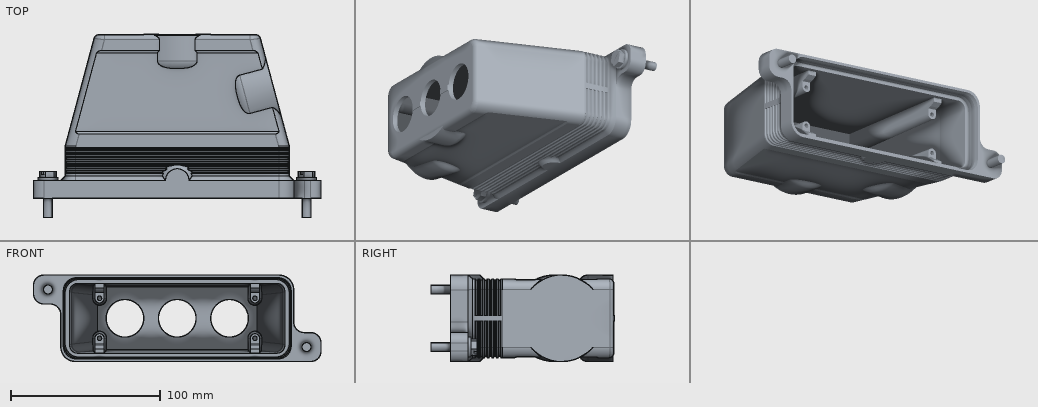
import cadquery as cq
import math


FLANGE_HALF_X = 78.0
FLANGE_HALF_Z = 29.0
FLANGE_THICKNESS = 12.0
FLANGE_CORNER_R = 10.0
EAR_HALF_X = 96.25
EAR_HEIGHT = 19.5
EAR_R = 7.0

SHELL_HALF_X = 75.0
SHELL_HALF_Z = 26.4
SHELL_CORNER_R = 7.0
TAPER_START_Y = 35.0
END_FACE_Y = 109.5
TAPER_ANGLE = 15.0
END_EDGE_R = 3.4
CHAMFER_TOP_Y = FLANGE_THICKNESS + FLANGE_HALF_X - SHELL_HALF_X
END_HALF_X = SHELL_HALF_X - (END_FACE_Y - TAPER_START_Y) * math.tan(math.radians(TAPER_ANGLE))

GROOVE_COUNT = 6
GROOVE_PITCH = 3.06
GROOVE_FIRST_Y = 17.7
GROOVE_DEPTH = 0.9
GROOVE_MOUTH = 2.1
GROOVE_FLOOR = 0.9
BRIDGE_WIDTH = 3.8

PANEL_START_Y = 43.0
PANEL_END_Y = 99.0
PANEL_DEPTH = 0.6
PANEL_RAMP = 1.7

GLAND_R = 29.0
GLAND_EDGE_R = 6.0
END_GLAND_START_Y = 86.0
END_GLAND_STOP_Y = 109.0
SIDE_GLAND_Y = 74.7
SIDE_GLAND_LENGTH = 25.8

STOP_R = 7.8
STOP_DROP = 4.0

MOUTH_STEPS = ((0.0, 27.2), (2.8, 26.6), (6.3, 26.6), (8.5, 25.9))
MOUTH_X_EXCESS = 49.1
MOUTH_CORNER_R = 9.0
LEDGE_Y = MOUTH_STEPS[-1][0]
CAVITY_FLOOR_Y = 106.0
END_WALL = END_FACE_Y - CAVITY_FLOOR_Y
CAVITY_MOUTH_HALF_X = 72.0
CAVITY_BEND_HALF_X = 70.6
CAVITY_FLOOR_HALF_X = 53.5
CAVITY_MOUTH_HALF_Z = 23.4
CAVITY_FLOOR_HALF_Z = 20.9
CAVITY_CORNER_R = 5.5

ENTRY_R = 12.5
ENTRY_SPACING = 35.0
PAD_LENGTH = 9.6
PAD_WIDTH = 3.6
PAD_TOP_Y = 110.0

POST_X = 52.0
POST_Z = 13.4
POST_FACE_Y = 18.5
POST_FRONT_R = 3.1
POST_BACK_R = 4.8
POST_HOLE_R = 1.5
POST_HOLE_DEPTH = 15.0
POST_WALL_Z = FLANGE_HALF_Z
POST_ROOT = 0.8
POST_TOE_PROFILE = ((17.3, POST_FACE_Y), (18.2, 16.0), (20.4, 12.1))

SCREW_X = EAR_HALF_X - EAR_HEIGHT / 2
SCREW_Z = FLANGE_HALF_Z - EAR_HEIGHT / 2
SCREW_R = 3.0
SCREW_PROJECTION = 13.0
COLLAR_R = 6.75
COLLAR_HEIGHT = 2.0
HEAD_HEIGHT = 4.0
HEAD_ACROSS_CORNERS = 11.55
HEAD_TURN = 13.0
SLOT_TURN = HEAD_TURN + 30.0
SLOT_WIDTH = 1.6
SLOT_DEPTH = 2.0


LENGTHWISE_EDGES = "not(|X or |Z)"


def plane_at(y, x=0.0, z=0.0):
    """Workplane whose normal is +Y; local X is X and local Y is -Z."""
    return cq.Workplane(cq.Plane(origin=(x, y, z), xDir=(1, 0, 0), normal=(0, 1, 0)))


def rounded_rect_wire(y, half_x, half_z, radius):
    outline = plane_at(y).rect(2 * half_x, 2 * half_z).extrude(1.0).edges("|Y").fillet(radius)
    return outline.faces("<Y").wires().val()


def ruled_loft(sections):
    """Ruled solid through rounded rectangles given as (y, half_x, half_z, corner_radius)."""
    wires = [rounded_rect_wire(*section) for section in sections]
    return cq.Workplane(cq.Solid.makeLoft(wires, True))


def make_shell():
    sections = [
        (FLANGE_THICKNESS, FLANGE_HALF_X, FLANGE_HALF_Z, FLANGE_CORNER_R),
        (CHAMFER_TOP_Y, SHELL_HALF_X, SHELL_HALF_Z, SHELL_CORNER_R),
    ]
    groove_steps = (
        (-GROOVE_MOUTH / 2, 0.0),
        (-GROOVE_FLOOR / 2, GROOVE_DEPTH),
        (GROOVE_FLOOR / 2, GROOVE_DEPTH),
        (GROOVE_MOUTH / 2, 0.0),
    )
    for i in range(GROOVE_COUNT):
        centre = GROOVE_FIRST_Y + i * GROOVE_PITCH
        for offset, depth in groove_steps:
            sections.append((
                centre + offset,
                SHELL_HALF_X - depth,
                SHELL_HALF_Z - depth,
                SHELL_CORNER_R - depth,
            ))
    sections.append((TAPER_START_Y, SHELL_HALF_X, SHELL_HALF_Z, SHELL_CORNER_R))
    grip = ruled_loft(sections)

    tapered = (
        cq.Workplane("XY")
        .polyline([
            (-SHELL_HALF_X, TAPER_START_Y),
            (SHELL_HALF_X, TAPER_START_Y),
            (END_HALF_X, END_FACE_Y),
            (-END_HALF_X, END_FACE_Y),
        ])
        .close()
        .extrude(SHELL_HALF_Z, both=True)
    )
    tapered = tapered.edges(LENGTHWISE_EDGES).fillet(SHELL_CORNER_R)
    shell = grip.union(tapered.faces(">Y").edges().fillet(END_EDGE_R))

    bridge_length = TAPER_START_Y - CHAMFER_TOP_Y
    bridges = plane_at(CHAMFER_TOP_Y).rect(2 * SHELL_HALF_X, BRIDGE_WIDTH).extrude(bridge_length)
    return shell.union(bridges)


def make_panel_recess(side):
    """Trapezoidal slab that lowers one Z face of the shell."""
    face = side * SHELL_HALF_Z
    floor = side * (SHELL_HALF_Z - PANEL_DEPTH)
    return (
        cq.Workplane("YZ", origin=(-SHELL_HALF_X, 0, 0))
        .moveTo(PANEL_START_Y, face)
        .lineTo(PANEL_START_Y + PANEL_RAMP, floor)
        .lineTo(PANEL_END_Y - PANEL_RAMP, floor)
        .lineTo(PANEL_END_Y, face)
        .close()
        .extrude(2 * SHELL_HALF_X)
    )


def round_corners(body, radius, x, z_values):
    """Round the flange corners at (x, -z) and at their half-turn images (-x, z)."""
    for side in (-1, 1):
        for z in z_values:
            corner = (side * x, FLANGE_THICKNESS / 2, -side * z)
            picker = cq.selectors.NearestToPointSelector(corner)
            body = body.edges("|Y").edges(picker).fillet(radius)
    return body


def make_flange():
    flange = (
        plane_at(0).rect(2 * FLANGE_HALF_X, 2 * FLANGE_HALF_Z).extrude(FLANGE_THICKNESS)
    )
    for side in (-1, 1):
        ear = (
            plane_at(0, side * EAR_HALF_X / 2, -side * SCREW_Z)
            .rect(EAR_HALF_X, EAR_HEIGHT)
            .extrude(FLANGE_THICKNESS)
        )
        flange = flange.union(ear)
    flange = flange.clean()

    ear_inner_z = FLANGE_HALF_Z - EAR_HEIGHT
    flange = round_corners(flange, FLANGE_CORNER_R, FLANGE_HALF_X, (-FLANGE_HALF_Z,))
    flange = round_corners(flange, EAR_R, FLANGE_HALF_X, (ear_inner_z,))
    return round_corners(flange, EAR_R, EAR_HALF_X, (ear_inner_z, FLANGE_HALF_Z))


def make_end_gland():
    length = END_GLAND_STOP_Y - END_GLAND_START_Y
    gland = plane_at(END_GLAND_START_Y).circle(GLAND_R).extrude(length)
    return gland.faces("<Y").edges().fillet(GLAND_EDGE_R)


def make_side_gland():
    lean = math.radians(TAPER_ANGLE)
    face_x = SHELL_HALF_X - (SIDE_GLAND_Y - TAPER_START_Y) * math.tan(lean)
    inward = (-math.cos(lean), -math.sin(lean), 0)
    plane = cq.Plane(origin=(face_x, SIDE_GLAND_Y, 0), xDir=(0, 0, 1), normal=inward)
    gland = cq.Workplane(plane).circle(GLAND_R).extrude(SIDE_GLAND_LENGTH)
    inner_face = cq.selectors.DirectionMinMaxSelector(cq.Vector(inward))
    return gland.faces(inner_face).edges().fillet(GLAND_EDGE_R)


def make_latch_stop(side):
    cone = cq.Solid.makeCone(
        STOP_R + STOP_DROP,
        STOP_R,
        STOP_DROP,
        cq.Vector(0, FLANGE_THICKNESS, side * (FLANGE_HALF_Z - STOP_DROP)),
        cq.Vector(0, 0, side),
    )
    return cq.Workplane(cone)


def make_chamber(growth=0.0):
    """Tapered inner space from the ledge to the floor, with its walls moved out by `growth`."""
    mouth_x = CAVITY_MOUTH_HALF_X + growth
    bend_x = CAVITY_BEND_HALF_X + growth
    floor_x = CAVITY_FLOOR_HALF_X + growth
    mouth_z = CAVITY_MOUTH_HALF_Z + growth
    floor_z = CAVITY_FLOOR_HALF_Z + growth
    plan = (
        cq.Workplane("XY")
        .polyline([
            (-mouth_x, LEDGE_Y),
            (mouth_x, LEDGE_Y),
            (bend_x, TAPER_START_Y),
            (floor_x, CAVITY_FLOOR_Y),
            (-floor_x, CAVITY_FLOOR_Y),
            (-bend_x, TAPER_START_Y),
        ])
        .close()
        .extrude(mouth_z, both=True)
    )
    side_profile = (
        cq.Workplane("YZ")
        .polyline([
            (LEDGE_Y, -mouth_z),
            (LEDGE_Y, mouth_z),
            (CAVITY_FLOOR_Y, floor_z),
            (CAVITY_FLOOR_Y, -floor_z),
        ])
        .close()
        .extrude(mouth_x, both=True)
    )
    return plan.intersect(side_profile).edges(LENGTHWISE_EDGES).fillet(CAVITY_CORNER_R)


def make_cavity():
    mouth = ruled_loft([
        (y, half_z + MOUTH_X_EXCESS, half_z, MOUTH_CORNER_R)
        for y, half_z in MOUTH_STEPS
    ])
    return mouth.union(make_chamber())


def make_post(side_x, side_z):
    """Tapered screw post that joins the Z wall, with a toe reaching towards the mouth."""
    def slot_wire(y, radius):
        return (
            plane_at(y, side_x * POST_X)
            .moveTo(-radius, -side_z * POST_WALL_Z)
            .lineTo(-radius, -side_z * POST_Z)
            .threePointArc((0, -side_z * (POST_Z - radius)), (radius, -side_z * POST_Z))
            .lineTo(radius, -side_z * POST_WALL_Z)
            .close()
            .val()
        )

    ends = [slot_wire(POST_FACE_Y, POST_FRONT_R), slot_wire(CAVITY_FLOOR_Y, POST_BACK_R)]
    post = cq.Workplane(cq.Solid.makeLoft(ends, True))

    toe_tip_y = POST_TOE_PROFILE[-1][1]
    toe_points = [(y, side_z * z) for z, y in POST_TOE_PROFILE]
    toe_points.append((toe_tip_y, side_z * POST_WALL_Z))
    toe_points.append((POST_FACE_Y, side_z * POST_WALL_Z))
    toe = (
        cq.Workplane("YZ", origin=(side_x * POST_X, 0, 0))
        .polyline(toe_points)
        .close()
        .extrude(POST_FRONT_R, both=True)
    )
    hole = (
        plane_at(POST_FACE_Y, side_x * POST_X, side_z * POST_Z)
        .circle(POST_HOLE_R)
        .extrude(POST_HOLE_DEPTH)
    )
    return post.union(toe).intersect(make_chamber(POST_ROOT)).cut(hole)


def make_screw(side):
    """Slotted hexagon screw with a collar, seated on one flange ear."""
    x = side * SCREW_X
    z = -side * SCREW_Z
    collar_top = FLANGE_THICKNESS + COLLAR_HEIGHT
    head_top = collar_top + HEAD_HEIGHT
    shank = plane_at(-SCREW_PROJECTION, x, z).circle(SCREW_R).extrude(SCREW_PROJECTION + FLANGE_THICKNESS)
    collar = plane_at(FLANGE_THICKNESS, x, z).circle(COLLAR_R).extrude(COLLAR_HEIGHT)
    head = (
        plane_at(collar_top, x, z)
        .transformed(rotate=(0, 0, HEAD_TURN))
        .polygon(6, HEAD_ACROSS_CORNERS)
        .extrude(HEAD_HEIGHT)
    )
    slot = (
        plane_at(head_top, x, z)
        .transformed(rotate=(0, 0, SLOT_TURN))
        .rect(HEAD_ACROSS_CORNERS, SLOT_WIDTH)
        .extrude(-SLOT_DEPTH)
    )
    return shank.union(collar).union(head.cut(slot))


hood = make_shell()
for side in (-1, 1):
    hood = hood.cut(make_panel_recess(side))
hood = hood.union(make_flange()).union(make_end_gland()).union(make_side_gland())
for side in (-1, 1):
    hood = hood.union(make_latch_stop(side))

pad_centres = [(-ENTRY_SPACING / 2, 0), (ENTRY_SPACING / 2, 0)]
pads = (
    plane_at(END_FACE_Y)
    .pushPoints(pad_centres)
    .rect(PAD_LENGTH, PAD_WIDTH)
    .extrude(PAD_TOP_Y - END_FACE_Y)
)
hood = hood.union(pads).cut(make_cavity())

entry_centres = [(-ENTRY_SPACING, 0), (0, 0), (ENTRY_SPACING, 0)]
entries = plane_at(CAVITY_FLOOR_Y).pushPoints(entry_centres).circle(ENTRY_R).extrude(END_WALL)
hood = hood.cut(entries)

for side_x in (-1, 1):
    for side_z in (-1, 1):
        hood = hood.union(make_post(side_x, side_z))
for side in (-1, 1):
    hood = hood.union(make_screw(side))

result = hood.clean()